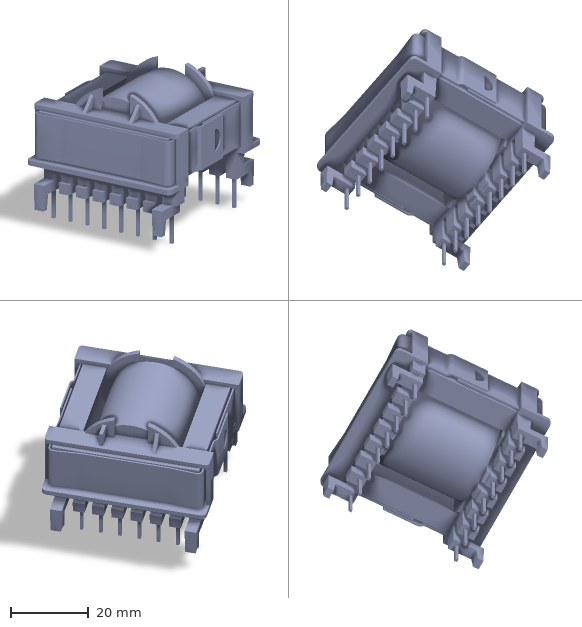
import cadquery as cq


core_width = 38.95
core_half_length = 20.0
core_height = 12.85
centre_leg_diameter = 12.8
window_diameter = 29.25
window_half_length = 14.3

winding_diameter = 23.25
winding_half_length = 12.8

bore_diameter = 13.0
tube_wall = 1.0
tube_diameter = bore_diameter + 2 * tube_wall
flange_radius = 14.4
flange_thickness = 1.4
flange_outer_y = winding_half_length + flange_thickness
top_notch_width = 9.0
lobe_width = 3.15

frame_width = 43.5
frame_inner_y = 13.5
post_outer_y = 18.0
post_thickness = 1.0
strap_outer_y = 19.0
strap_corner_radius = 1.0
plate_outer_y = 22.5
plate_corner_radius = 1.45
plate_thickness = 1.35
core_top = core_height / 2
frame_top = core_top + plate_thickness

gusset_width = 1.0
gusset_x = 6.98
gusset_top = 11.7

pin_count = 8
pin_pitch = 5.1
pin_side = 0.8
pin_y = 15.3
pin_tip_z = -23.8
block_width = 3.5
block_draft = 0.03
block_inner_y = 13.55
block_outer_y = 17.5
block_bottom_z = -15.5
step_top_z = -12.55
step_outer_y = 18.5
foot_bottom_z = -19.6
foot_side_inset = 0.05
foot_toe_top = 2.05
foot_toe_bottom = 1.65
key_side_x = 20.75

sheet = 0.4
clip_height = 12.05
arm_x = 20.2
arm_end_y = 4.15
tab_offset = 2 * sheet
clip_bend_radius = 1.2
clip_bow = 0.65
clip_flat_half_width = 11.7
clip_back_y = core_half_length + sheet / 2
joggle_y = 7.2
joggle_bend_radius = 1.15
latch_diameter = 6.2
latch_root_y = 1.15
latch_bend_radius = 0.8


def box(x_range, y_range, z_range):
    """Box between two values on each axis, in either order."""
    (x0, x1), (y0, y1), (z0, z1) = sorted(x_range), sorted(y_range), sorted(z_range)
    return cq.Workplane("XY").box(x1 - x0, y1 - y0, z1 - z0, centered=False).translate((x0, y0, z0))


def cylinder_y(diameter, y_start, y_end):
    """Cylinder on the winding axis from y_start up to y_end."""
    disc = cq.Workplane("XZ", origin=(0, y_end, 0)).circle(diameter / 2)
    return disc.extrude(y_end - y_start)


def turned(body):
    """The body turned half a turn about the vertical axis."""
    return body.rotate((0, 0, 0), (0, 0, 1), 180)


def make_core_half():
    """E-shaped half on the -Y side, with a round centre leg and concave outer legs."""
    half_width = core_width / 2
    blank = box((-half_width, half_width), (-core_half_length, 0), (-core_top, core_top))
    window = cylinder_y(window_diameter, -window_half_length, 0)
    centre_leg = cylinder_y(centre_leg_diameter, -window_half_length, 0)
    return blank.cut(window).union(centre_leg)


def make_winding():
    outer = cylinder_y(winding_diameter, -winding_half_length, winding_half_length)
    return outer.cut(cylinder_y(tube_diameter, -winding_half_length, winding_half_length))


def make_flange():
    """Round end flange on the -Y side: notched at the top, two lobes below the plate."""
    flange = cylinder_y(2 * flange_radius, -flange_outer_y, -winding_half_length)
    y_range = (-flange_outer_y, -winding_half_length)
    half_notch = top_notch_width / 2
    flange = flange.cut(box((-half_notch, half_notch), y_range, (frame_top, flange_radius)))
    lobe_inner_x = (pin_pitch - lobe_width) / 2
    lobe_outer_x = lobe_inner_x + lobe_width
    below_plate = (-flange_radius, -frame_top)
    flange = flange.cut(box((-lobe_inner_x, lobe_inner_x), y_range, below_plate))
    for side in (-1, 1):
        flange = flange.cut(box((side * lobe_outer_x, side * flange_radius), y_range, below_plate))
    return flange


def make_frame():
    """Strap over the core, plate under it and the two side posts joining them."""
    half = frame_width / 2
    strap = box((-half, half), (-strap_outer_y, -frame_inner_y), (core_top, frame_top))
    strap = strap.edges("|Z and <Y").fillet(strap_corner_radius)
    plate = box((-half, half), (-plate_outer_y, -frame_inner_y), (-frame_top, -core_top))
    plate = plate.edges("|Z and <Y").fillet(plate_corner_radius)
    frame = strap.union(plate)
    for side in (-1, 1):
        x_range = (side * half, side * (half - post_thickness))
        frame = frame.union(box(x_range, (-post_outer_y, -frame_inner_y), (-core_top, core_top)))
    return frame


def make_gusset(x, square):
    """Rib from the flange down to the strap; triangular, or a full square block."""
    points = [(-flange_outer_y, frame_top), (-flange_outer_y, gusset_top), (-post_outer_y, frame_top)]
    if square:
        points.insert(2, (-post_outer_y, gusset_top))
    return cq.Workplane("YZ", origin=(x, 0, 0)).polyline(points).close().extrude(gusset_width / 2, both=True)


def drafted(x, top_width, side_profile):
    """Solid with the given YZ side profile and with side walls that draw in downwards from the plate."""
    top_half = top_width / 2
    bottom_half = top_half - block_draft * (-frame_top - foot_bottom_z)
    outline = [
        (x - top_half, -frame_top),
        (x + top_half, -frame_top),
        (x + bottom_half, foot_bottom_z),
        (x - bottom_half, foot_bottom_z),
    ]
    walls = cq.Workplane("XZ").polyline(outline).close().extrude(plate_outer_y)
    slab = cq.Workplane("YZ", origin=(x, 0, 0)).polyline(side_profile).close().extrude(top_width, both=True)
    return walls.intersect(slab)


def make_block(x):
    """Terminal block under the plate, drawing in on all four sides."""
    inset = block_draft * (-frame_top - block_bottom_z)
    profile = [
        (-block_inner_y, -frame_top),
        (-block_outer_y, -frame_top),
        (-block_outer_y + inset, block_bottom_z),
        (-block_inner_y - inset, block_bottom_z),
    ]
    return drafted(x, block_width, profile)


def make_step(x):
    """Short step on the outer face of a terminal block."""
    profile = [
        (-pin_y, step_top_z),
        (-step_outer_y, step_top_z),
        (-step_outer_y, block_bottom_z),
        (-pin_y, block_bottom_z),
    ]
    return drafted(x, block_width, profile)


def make_foot(x):
    """Standing foot that reaches out to the plate edge and turns down."""
    profile = [
        (-pin_y, step_top_z),
        (-plate_outer_y, step_top_z),
        (-plate_outer_y, foot_bottom_z),
        (-plate_outer_y + foot_toe_bottom, foot_bottom_z),
        (-plate_outer_y + foot_toe_top, block_bottom_z),
        (-pin_y, block_bottom_z),
    ]
    return drafted(x, block_width - 2 * foot_side_inset, profile)


def make_pin(x):
    half = pin_side / 2
    return box((x - half, x + half), (-pin_y - half, -pin_y + half), (pin_tip_z, block_bottom_z))


def make_former_end(square_gusset_x=None):
    """Flange, frame, gussets and terminal row at the -Y end."""
    end = make_flange().union(make_frame())
    for x in (-gusset_x, gusset_x):
        end = end.union(make_gusset(x, x == square_gusset_x))
    for i in range(pin_count):
        x = (i - (pin_count - 1) / 2) * pin_pitch
        is_corner = i in (0, pin_count - 1)
        support = make_foot(x) if is_corner else make_step(x)
        end = end.union(make_block(x)).union(support).union(make_pin(x))
    return end


def make_key():
    """Polarity key beside the last terminal of the -Y row."""
    last_x = (pin_count - 1) / 2 * pin_pitch
    inset = block_draft * (-frame_top - step_top_z)
    outline = [
        (last_x, -frame_top),
        (key_side_x, -frame_top),
        (key_side_x - inset, step_top_z),
        (last_x, step_top_z),
    ]
    key = cq.Workplane("XZ", origin=(0, -block_inner_y - inset, 0)).polyline(outline).close()
    return key.extrude(block_outer_y - block_inner_y - 2 * inset)


def make_former():
    tube = cylinder_y(tube_diameter, -flange_outer_y, flange_outer_y)
    former = tube.union(make_former_end()).union(make_key())
    former = former.union(turned(make_former_end(square_gusset_x=-gusset_x)))
    return former.cut(cylinder_y(bore_diameter, -flange_outer_y, flange_outer_y))


def bent_sheet(points, bend_radii):
    """Upright sheet strip whose middle plane follows the points, rounded at each inner point."""
    path = cq.Wire.makePolygon([cq.Vector(x, y, 0) for x, y in points])
    for point, radius in zip(points[1:-1], bend_radii):
        corner = [v for v in path.Vertices() if (v.Center() - cq.Vector(*point, 0)).Length < 4.5e-07]
        if radius:
            path = path.fillet(radius, corner)
    start = cq.Vector(*points[0], 0)
    section = cq.Plane(origin=start, xDir=(0, 0, 1), normal=cq.Vector(*points[1], 0) - start)
    return cq.Workplane(section).rect(clip_height, sheet).sweep(path, transition="right")


def make_clip():
    """Bowed clip round the -Y core half, with a latch on its -X arm and a holed tab on its +X arm."""
    corner_y = -clip_back_y - clip_bow
    tab_x = arm_x + tab_offset
    strip = bent_sheet(
        [
            (-arm_x, arm_end_y),
            (-arm_x, corner_y),
            (-clip_flat_half_width, -clip_back_y),
            (clip_flat_half_width, -clip_back_y),
            (arm_x, corner_y),
            (arm_x, -joggle_y),
            (tab_x, -joggle_y + tab_offset),
            (tab_x, arm_end_y),
        ],
        [clip_bend_radius, 0, 0, clip_bend_radius, joggle_bend_radius, joggle_bend_radius],
    )
    gap_middle_x = arm_x + sheet
    latch_disc = cq.Workplane("YZ").circle(latch_diameter / 2).extrude(tab_x + sheet)
    tab_hole = latch_disc.intersect(latch_disc.translate((gap_middle_x, 0, 0)))
    latch = bent_sheet(
        [
            (-arm_x, -latch_diameter / 2),
            (-arm_x, -latch_root_y),
            (-tab_x, -latch_root_y + tab_offset),
            (-tab_x, latch_diameter / 2),
        ],
        [latch_bend_radius, latch_bend_radius],
    ).intersect(turned(latch_disc))
    return strip.cut(tab_hole).union(latch)


former = make_former()
winding = make_winding()
core_halves = [make_core_half(), turned(make_core_half())]
clips = [make_clip(), turned(make_clip())]

result = cq.Compound.makeCompound(
    [body.solids().val() for body in [former, winding, *core_halves, *clips]]
)